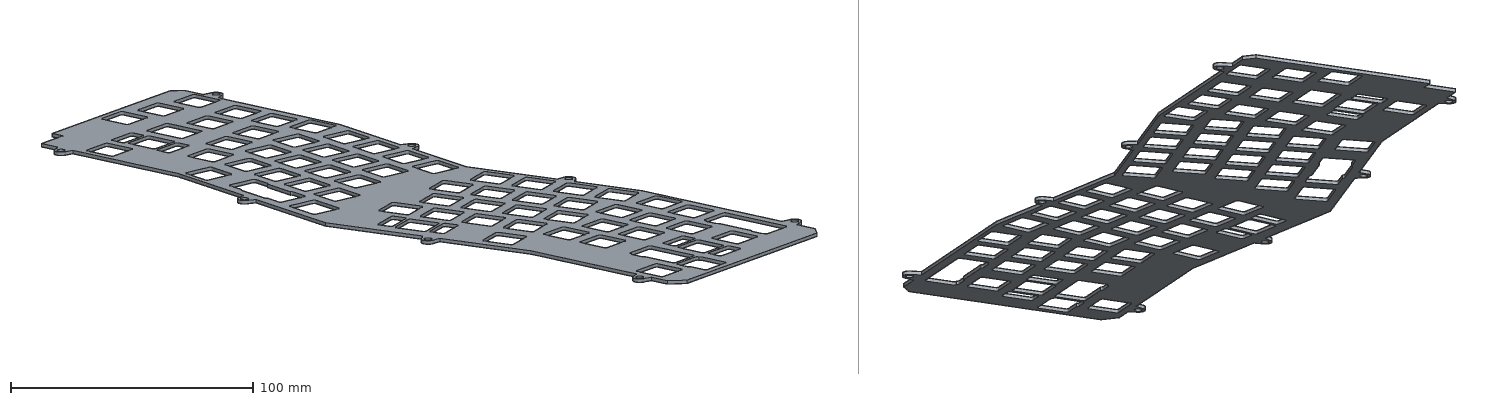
import cadquery as cq
import math

length = 338.8
depth = 123.91
thickness = 1.5
tilt = 12.0
half_length = length / 2
half_depth = depth / 2
slope = math.tan(math.radians(tilt))

tab_radius = 2.9
tab_hole_radius = 1.6
tab_root_half_width = 4.0
tab_overlap = 1.0
long_tab_reach = 3.65
short_tab_reach = 2.85
outer_tab_x = 151.3
top_left_tab_x = -42.05
top_right_tab_x = 40.05
bottom_inner_tab_x = 47.4

top_edge_y = half_depth - tab_radius - long_tab_reach
bottom_edge_y = -42.33
top_left_bend_x = -83.6
top_right_bend_x = 74.3
valley_x = (top_left_bend_x + top_right_bend_x) / 2
bottom_bend_x = (half_depth + bottom_edge_y) / slope
top_left_chamfer = 4.2
top_right_chamfer = 4.6
bottom_right_chamfer = 5.7
notch_width = 5.6
notch_top_y = -28.0

switch_size = 14.0
cutout_corner_radius = 1.0
slot_width = 6.75
slot_height = 14.0
slot_spacing = 23.8
slot_shift = 0.75

key_pitch = 19.05
back_row_y = 44.05
number_y, upper_y, home_y, lower_y, control_y = [back_row_y - row * key_pitch for row in range(5)]
raised_key_y = 46.4

macro_xs = (-151.5, -155.6, -159.7)
left_number_x = -128.2
left_raised_x = -90.8
tab_key_x = -128.0
caps_x = -129.43
left_shift_x = -129.0
left_control_x = -136.1

right_raised_x = 90.3
backspace_x = 137.3
right_upper_x = 85.0
right_upper_y = 26.1
backslash_x = 146.4
enter_x = 143.4
right_shift_x = 142.8
right_control_x = 151.4

left_block_origin = (-70.2, 42.3)
right_block_origin = (13.8, 32.4)
left_row_starts = (0, -0.5, -0.25, 0.25)
right_row_starts = (0, -0.5, -0.25, -0.75)
keys_per_row = 4
space_row = 4
left_space_start = 1.985
right_space_start = 0.135
left_thumb_key = (-82.24, -34.7)
right_thumb_key = (72.5, -34.7)


def rounded_cutter(width, height, center, angle):
    cutter = cq.Workplane("XY").rect(width, height).extrude(thickness)
    cutter = cutter.edges("|Z").fillet(cutout_corner_radius)
    return cutter.rotate((0, 0, 0), (0, 0, 1), angle).translate((*center, 0)).val()


def shifted(center, angle, along, across):
    """The point reached from a centre by moving along and across axes turned by the angle."""
    turn = math.radians(angle)
    x = center[0] + along * math.cos(turn) - across * math.sin(turn)
    y = center[1] + along * math.sin(turn) + across * math.cos(turn)
    return x, y


def switch(center, angle=0.0):
    return rounded_cutter(switch_size, switch_size, center, angle)


def stabilizers(center, angle=0.0, across=-slot_shift):
    """The pair of slots on either side of a wide key."""
    slots = []
    for along in (-slot_spacing / 2, slot_spacing / 2):
        slots.append(rounded_cutter(slot_width, slot_height, shifted(center, angle, along, across), angle))
    return slots


def flat_row(start_x, y, unit_offsets):
    """Switch cutouts of a flat row, placed in key units from one of its keys."""
    return [switch((start_x + units * key_pitch, y)) for units in unit_offsets]


def left_flat_block():
    cutters = []
    for row, x in enumerate(macro_xs):
        cutters.append(switch((x, raised_key_y - row * key_pitch)))
    cutters += flat_row(left_number_x, number_y, (0, 1))
    cutters.append(switch((left_raised_x, raised_key_y)))
    cutters += flat_row(tab_key_x, upper_y, (0, 1.25))
    cutters += flat_row(caps_x, home_y, (-0.25, 0, 1.375))
    cutters += flat_row(left_shift_x, lower_y, (0, 1.625))
    cutters += stabilizers((left_shift_x, lower_y))
    cutters.append(switch((left_control_x, control_y)))
    return cutters


def right_flat_block():
    cutters = [switch((right_raised_x, raised_key_y))]
    cutters += flat_row(backspace_x, number_y, (-1.5, -0.5, 0, 0.5))
    cutters += stabilizers((backspace_x, number_y))
    cutters.append(switch((right_upper_x, right_upper_y)))
    cutters += flat_row(backslash_x, upper_y, (-2.25, -1.25, 0))
    cutters += flat_row(enter_x, home_y, (-2.625, -1.625, 0))
    cutters += stabilizers((enter_x, home_y), across=slot_shift)
    cutters += flat_row(right_shift_x, lower_y, (-2.875, -1.875, -0.5, 0, 0.875))
    cutters += stabilizers((right_shift_x, lower_y))
    cutters.append(switch((right_control_x, control_y)))
    return cutters


def block_key(origin, angle, column, row):
    """Centre of a key in a tilted block, counted in key units from its first key."""
    return shifted(origin, angle, column * key_pitch, -row * key_pitch)


def tilted_block(origin, angle, row_starts):
    cutters = []
    for row, start in enumerate(row_starts):
        for column in range(keys_per_row):
            cutters.append(switch(block_key(origin, angle, start + column, row), angle))
    return cutters


def left_space_row():
    """A 2 or 2.25 unit space key sharing 3.25 units with the key beside it, and a thumb key."""
    cutters = [switch(left_thumb_key, -tilt)]
    for space_offset, neighbour_offset in ((0, 1.625), (0.125, 1.75)):
        space = block_key(left_block_origin, -tilt, left_space_start + space_offset, space_row)
        neighbour = block_key(left_block_origin, -tilt, left_space_start + neighbour_offset, space_row)
        cutters += [switch(space, -tilt), switch(neighbour, -tilt)]
        cutters += stabilizers(space, -tilt, slot_shift)
    return cutters


def right_space_row():
    space = block_key(right_block_origin, tilt, right_space_start, space_row)
    cutters = [switch(right_thumb_key, tilt), switch(space, tilt)]
    return cutters + stabilizers(space, tilt, slot_shift)


def plate_body():
    valley_y = top_edge_y - (valley_x - top_left_bend_x) * slope
    outline = [
        (-half_length, notch_top_y),
        (-half_length, top_edge_y - top_left_chamfer),
        (-half_length + top_left_chamfer, top_edge_y),
        (top_left_bend_x, top_edge_y),
        (valley_x, valley_y),
        (top_right_bend_x, top_edge_y),
        (half_length - top_right_chamfer, top_edge_y),
        (half_length, top_edge_y - top_right_chamfer),
        (half_length, bottom_edge_y + bottom_right_chamfer),
        (half_length - bottom_right_chamfer, bottom_edge_y),
        (bottom_bend_x, bottom_edge_y),
        (0, -half_depth),
        (-bottom_bend_x, bottom_edge_y),
        (-half_length + notch_width, bottom_edge_y),
        (-half_length + notch_width, notch_top_y),
    ]
    return cq.Workplane("XY").polyline(outline).close().extrude(thickness)


def mounting_tab(x, y, angle, reach):
    """A rounded lug with a hole, rooted on the plate edge at (x, y); angle 0 points along +Y."""
    lug = (
        cq.Workplane("XY")
        .moveTo(-tab_root_half_width, -tab_overlap)
        .lineTo(-tab_root_half_width, 0)
        .lineTo(-tab_radius, reach)
        .threePointArc((0, reach + tab_radius), (tab_radius, reach))
        .lineTo(tab_root_half_width, 0)
        .lineTo(tab_root_half_width, -tab_overlap)
        .close()
        .extrude(thickness)
    )
    hole = cq.Workplane("XY").center(0, reach).circle(tab_hole_radius).extrude(thickness)
    return lug.cut(hole).rotate((0, 0, 0), (0, 0, 1), angle).translate((x, y, 0))


def mounting_tabs():
    top_left_y = top_edge_y - (top_left_tab_x - top_left_bend_x) * slope
    top_right_y = top_edge_y - (top_right_bend_x - top_right_tab_x) * slope
    bottom_inner_y = bottom_edge_y - (bottom_bend_x - bottom_inner_tab_x) * slope
    tabs = [
        mounting_tab(top_left_tab_x, top_left_y, -tilt, short_tab_reach),
        mounting_tab(top_right_tab_x, top_right_y, tilt, short_tab_reach),
    ]
    for side in (-1, 1):
        tabs.append(mounting_tab(side * outer_tab_x, top_edge_y, 0, long_tab_reach))
        tabs.append(mounting_tab(side * outer_tab_x, bottom_edge_y, 180, short_tab_reach))
        inner_angle = 180 + side * tilt
        tabs.append(mounting_tab(side * bottom_inner_tab_x, bottom_inner_y, inner_angle, short_tab_reach))
    return tabs


plate = plate_body()
for tab in mounting_tabs():
    plate = plate.union(tab)

cutouts = left_flat_block() + right_flat_block()
cutouts += tilted_block(left_block_origin, -tilt, left_row_starts)
cutouts += tilted_block(right_block_origin, tilt, right_row_starts)
cutouts += left_space_row() + right_space_row()
result = cq.Workplane(obj=plate.val().cut(*cutouts))